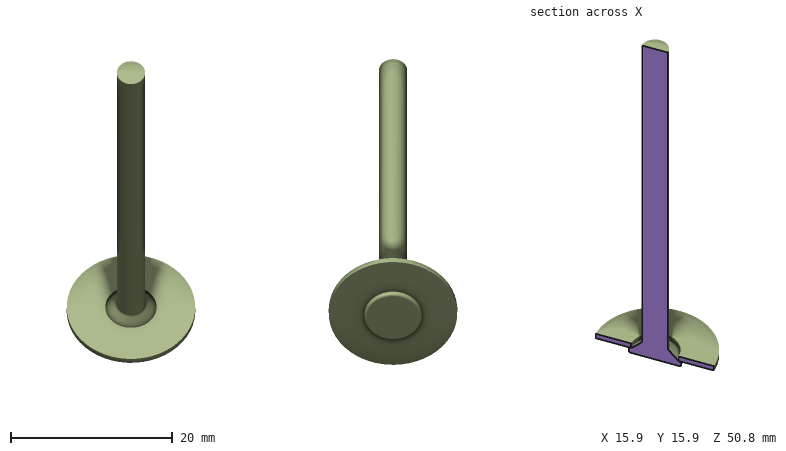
import cadquery as cq
import math

total_height = 50.8
stem_radius = 3.5 / 2

head_radius = 7.1 / 2
head_height = 0.8
head_edge_radius = 0.3

washer_radius = 15.9 / 2
washer_thickness = 0.8
washer_bore_radius = 6.35 / 2

cone_base_radius = head_radius - head_edge_radius
cone_top_radius = 1.9
cone_height = cone_base_radius - cone_top_radius
cone_top = head_height + cone_height
blend_height = (cone_top_radius - stem_radius) * (1 + math.sqrt(2))


def make_head():
    head = cq.Workplane("XY").circle(head_radius).extrude(head_height)
    return head.edges().fillet(head_edge_radius)


def make_washer():
    return (
        cq.Workplane("XY")
        .workplane(offset=head_height)
        .circle(washer_radius)
        .circle(washer_bore_radius)
        .extrude(washer_thickness)
    )


def make_stem():
    """Revolve the stem, its concave blend and the cone at its foot."""
    profile = (
        cq.Workplane("XZ")
        .lineTo(stem_radius, 0)
        .lineTo(stem_radius, head_height)
        .lineTo(cone_base_radius, head_height)
        .lineTo(cone_top_radius, cone_top)
        .tangentArcPoint((stem_radius, cone_top + blend_height), relative=False)
        .lineTo(stem_radius, total_height)
        .lineTo(0, total_height)
        .close()
    )
    return profile.revolve(360, (0, 0, 0), (0, 1, 0))


result = make_head().union(make_stem()).union(make_washer())